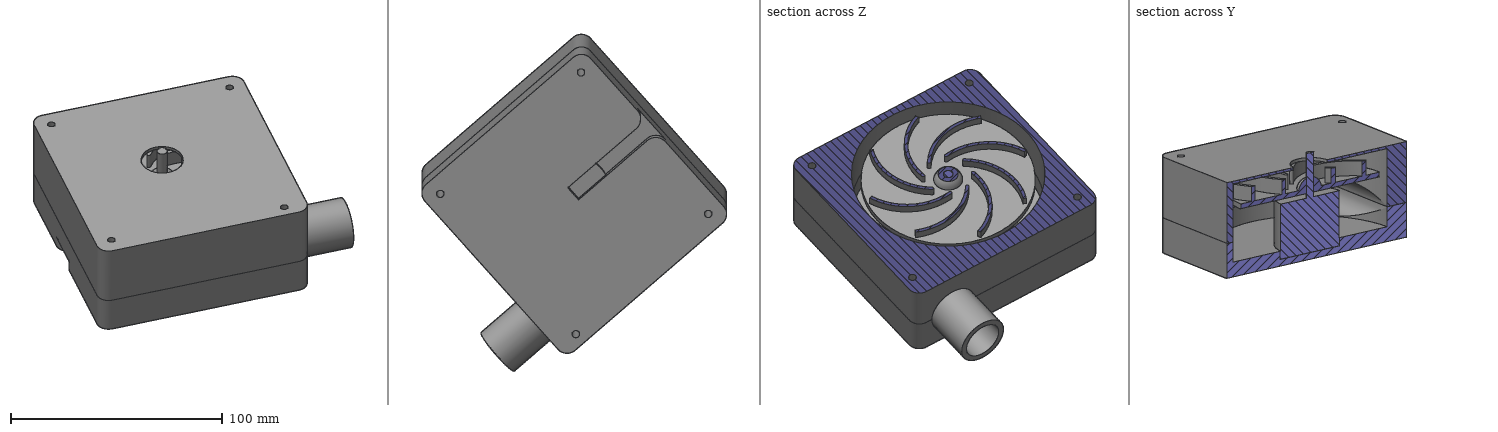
import cadquery as cq
import math


housing_length = 106.8
housing_width = 104.5
housing_height = 47.7
split_height = 17.5
corner_radius = 5.8
axis_to_left = 49.4
axis_to_front = 49.4
left = -axis_to_left
front = -axis_to_front
right = left + housing_length
back = front + housing_width

chamber_diameter = 91.3
roof_thickness = 1.5
intake_diameter = 19.9

pipe_diameter = 24.2
pipe_bore = 18.7
pipe_projection = 24.5
pipe_insertion = 7.7
pipe_x = (chamber_diameter - pipe_bore) / 2
pipe_z = 17.3
chamber_floor = 7.6
chamber_roof = housing_height - roof_thickness

screw_diameter = 3.5
screw_inset = 7.9
back_right_inset = (5.7, 11.2)
screw_points = [
    (left + screw_inset, front + screw_inset),
    (right - screw_inset, front + screw_inset),
    (left + screw_inset, back - screw_inset),
    (right - back_right_inset[0], back - back_right_inset[1]),
]

channel_width = 7.7
channel_mouth = 20.1
channel_height = 5.3
channel_flare = (channel_mouth - channel_width) / 2

motor_diameter = 35.1
motor_seat = 3.6
motor_top = 31.0
shaft_diameter = 4.9
shaft_top = 53.1

impeller_diameter = 82.5
impeller_top = 35.6
disc_thickness = 2.6
hub_diameter = 13.8
hub_center_drop = 1.4
hub_sphere_radius = math.hypot(hub_diameter / 2, hub_center_drop)
blade_count = 8
blade_height = 7.4
blade_thickness = 1.8
blade_inner_radius = 11.9
blade_curve_radius = 30.0
blade_center_distance = 22.0
blade_center_angle = -62.5


def cylinder(diameter, bottom, top):
    """Upright cylinder on the pump axis."""
    return cq.Workplane("XY").workplane(offset=bottom).circle(diameter / 2).extrude(top - bottom)


def outlet_cylinder(diameter, start, end):
    """Cylinder along the outlet axis, from Y = start to Y = end."""
    plane = cq.Plane(origin=(pipe_x, start, pipe_z), xDir=(1, 0, 0), normal=(0, 1, 0))
    return cq.Workplane(plane).circle(diameter / 2).extrude(end - start)


def housing_half(bottom, top):
    """Rounded block with the screw holes, chamber and outlet openings that both halves share."""
    block = (
        cq.Workplane("XY", origin=((left + right) / 2, (front + back) / 2, bottom))
        .rect(housing_length, housing_width)
        .extrude(top - bottom)
        .edges("|Z")
        .fillet(corner_radius)
    )
    screw_holes = (
        cq.Workplane("XY", origin=(0, 0, bottom))
        .pushPoints(screw_points)
        .circle(screw_diameter / 2)
        .extrude(top - bottom)
    )
    chamber = cylinder(chamber_diameter, chamber_floor, chamber_roof)
    outlet_passage = outlet_cylinder(pipe_bore, 0, back)
    pipe_socket = outlet_cylinder(pipe_diameter, back - pipe_insertion, back)
    return block.cut(screw_holes).cut(chamber).cut(outlet_passage).cut(pipe_socket)


def cable_channel():
    """Channel from the front face to the pump axis, with convex rounded mouth corners."""
    half_width = channel_width / 2
    half_mouth = channel_mouth / 2
    throat = front + channel_flare
    arc_offset = channel_flare * (1 - math.sqrt(0.5))
    return (
        cq.Workplane("XY")
        .moveTo(-half_mouth, front)
        .threePointArc((-half_width - arc_offset, front + arc_offset), (-half_width, throat))
        .lineTo(-half_width, 0)
        .lineTo(half_width, 0)
        .lineTo(half_width, throat)
        .threePointArc((half_width + arc_offset, front + arc_offset), (half_mouth, front))
        .close()
        .extrude(channel_height)
    )


def make_lower_housing():
    motor_bore = cylinder(motor_diameter, motor_seat, split_height)
    return housing_half(0, split_height).cut(motor_bore).cut(cable_channel())


def make_upper_housing():
    intake = cylinder(intake_diameter, chamber_roof, housing_height)
    return housing_half(split_height, housing_height).cut(intake)


def make_outlet_pipe():
    start = back - pipe_insertion
    end = back + pipe_projection
    return outlet_cylinder(pipe_diameter, start, end).cut(outlet_cylinder(pipe_bore, start, end))


def make_motor():
    """Motor can with its shaft rising through the intake."""
    can = cylinder(motor_diameter, motor_seat, motor_top)
    return can.union(cylinder(shaft_diameter, motor_top, shaft_top))


def blade_angle(radius):
    """Angle about the blade curve's center at which the curve is this far from the pump axis."""
    squares = blade_center_distance**2 + blade_curve_radius**2
    cosine = (radius**2 - squares) / (2 * blade_center_distance * blade_curve_radius)
    return math.radians(blade_center_angle) + math.acos(cosine)


def make_blade():
    """One blade, an arc of constant thickness with a round inner end."""
    center_angle = math.radians(blade_center_angle)
    center_x = blade_center_distance * math.cos(center_angle)
    center_y = blade_center_distance * math.sin(center_angle)
    inner_angle = blade_angle(blade_inner_radius)
    outer_angle = blade_angle(impeller_diameter / 2 - blade_thickness)
    middle_angle = (inner_angle + outer_angle) / 2
    concave_radius = blade_curve_radius - blade_thickness / 2
    convex_radius = blade_curve_radius + blade_thickness / 2
    nose_angle = inner_angle + blade_thickness / 2 / blade_curve_radius

    def point(radius, angle):
        return (center_x + radius * math.cos(angle), center_y + radius * math.sin(angle))

    return (
        cq.Workplane("XY", origin=(0, 0, impeller_top))
        .moveTo(*point(concave_radius, inner_angle))
        .threePointArc(point(concave_radius, middle_angle), point(concave_radius, outer_angle))
        .lineTo(*point(convex_radius, outer_angle))
        .threePointArc(point(convex_radius, middle_angle), point(convex_radius, inner_angle))
        .threePointArc(point(blade_curve_radius, nose_angle), point(concave_radius, inner_angle))
        .close()
        .extrude(blade_height)
    )


def make_impeller():
    disc_bottom = impeller_top - disc_thickness
    impeller = cylinder(impeller_diameter, disc_bottom, impeller_top)
    hub = cq.Workplane("XY", origin=(0, 0, impeller_top - hub_center_drop)).sphere(hub_sphere_radius)
    upper_space = cylinder(impeller_diameter, impeller_top, housing_height)
    impeller = impeller.union(hub.intersect(upper_space))
    blade = make_blade()
    for index in range(blade_count):
        angle = index * 360 / blade_count
        impeller = impeller.union(blade.rotate((0, 0, 0), (0, 0, 1), angle))
    return impeller.cut(cylinder(shaft_diameter, disc_bottom, housing_height))


lower_housing = make_lower_housing()
upper_housing = make_upper_housing()
outlet_pipe = make_outlet_pipe()
motor = make_motor()
impeller = make_impeller()

result = cq.Compound.makeCompound([
    lower_housing.solids().val(),
    upper_housing.solids().val(),
    outlet_pipe.solids().val(),
    motor.solids().val(),
    impeller.solids().val(),
])